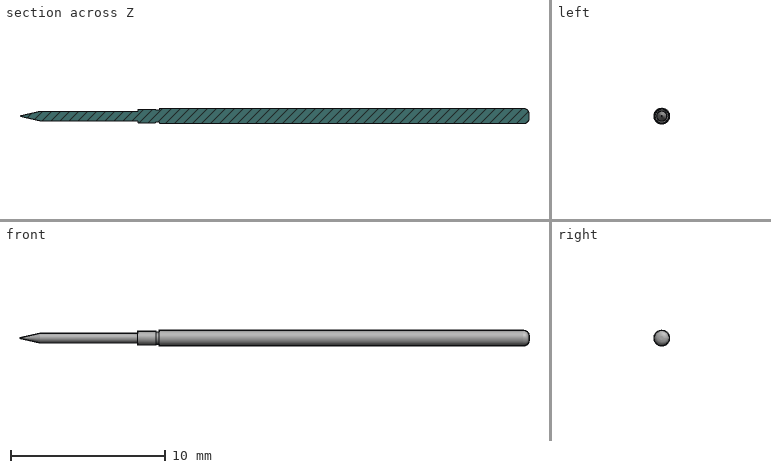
import cadquery as cq

overall_length = 33.02
barrel_diameter = 1.02
collar_diameter = 0.91
neck_diameter = 0.81
plunger_diameter = 0.65
tip_diameter = 0.06

tip_end = 1.30
plunger_end = 7.62
collar_end = 8.80
neck_end = 9.02

tail_radius = 0.38


def turned_section(start, end, diameter):
    """Cylinder on the X axis between two axial positions."""
    return cq.Workplane("YZ", origin=(start, 0, 0)).circle(diameter / 2).extrude(end - start)


def make_tip():
    """Conical point with a tiny flat, widening to the plunger diameter."""
    half_profile = [
        (0, 0),
        (tip_end, 0),
        (tip_end, plunger_diameter / 2),
        (0, tip_diameter / 2),
    ]
    return cq.Workplane("XY").polyline(half_profile).close().revolve(360, (0, 0, 0), (1, 0, 0))


def make_barrel():
    """Barrel with a rounded tail."""
    barrel = turned_section(neck_end, overall_length, barrel_diameter)
    return barrel.faces(">X").edges().fillet(tail_radius)


plunger = turned_section(tip_end, plunger_end, plunger_diameter)
collar = turned_section(plunger_end, collar_end, collar_diameter)
neck = turned_section(collar_end, neck_end, neck_diameter)

result = make_tip().union(plunger).union(collar).union(neck).union(make_barrel())